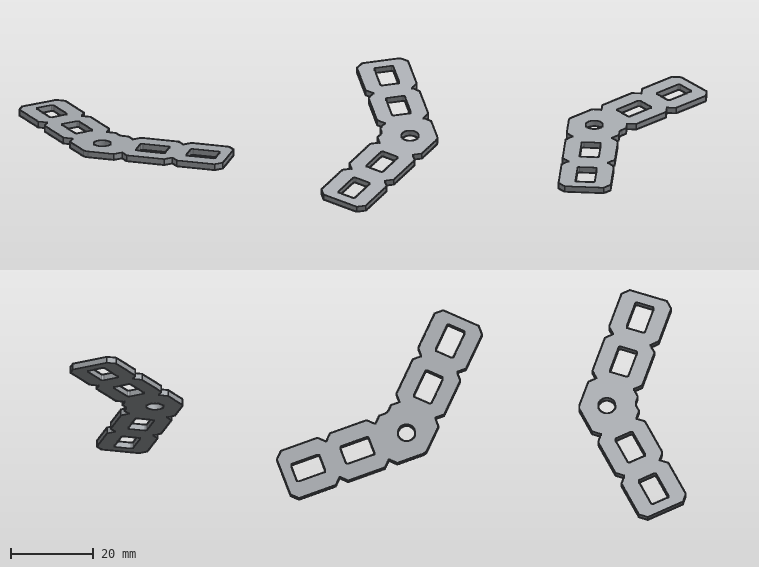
import cadquery as cq
import math

overall_length = 57.55
thickness = 1.55
corner_cut = 1.6
bend_angle = 45.0
bend_radius = 1.85
pivot_diameter = 4.2
slot_length = 7.35
slot_width = 4.7
slot_corner_radius = 0.45
cells_per_arm = 2

bend_cos = math.cos(math.radians(bend_angle))
bend_sin = math.sin(math.radians(bend_angle))
pitches_per_arm = cells_per_arm + 0.5
pitch = (overall_length + corner_cut * bend_sin) / (pitches_per_arm * (1 + bend_cos) + bend_sin / 2)
half_width = pitch / 2
arm_length = pitches_per_arm * pitch
bend_offset = half_width * math.tan(math.radians(bend_angle / 2))


def on_bent_arm(along, across):
    """Point given along and across the bent arm, measured from the pivot."""
    return (
        along * bend_cos - across * bend_sin,
        along * bend_sin + across * bend_cos,
    )


def arm_edge(side):
    """Long edge of an arm running outward, with V notches between the cells."""
    across = side * half_width
    notch_bottom = side * (half_width - corner_cut)
    points = []
    for cell in range(cells_per_arm):
        boundary = (cell + 0.5) * pitch
        points += [
            (boundary - corner_cut, across),
            (boundary, notch_bottom),
            (boundary + corner_cut, across),
        ]
    points += [(arm_length - corner_cut, across), (arm_length, notch_bottom)]
    return points


def plate():
    """Bent plate: straight arm toward -X, second arm turned up by the bend angle."""
    outer_bend = (bend_offset, -half_width)
    inner_bend = (-bend_offset, half_width)
    bent_lower = [on_bent_arm(*point) for point in arm_edge(-1)]
    bent_upper = [on_bent_arm(*point) for point in reversed(arm_edge(1))]
    straight_upper = [(-along, across) for along, across in arm_edge(1)]
    straight_lower = [(-along, across) for along, across in reversed(arm_edge(-1))]
    outline = (
        [outer_bend] + bent_lower + bent_upper
        + [inner_bend] + straight_upper + straight_lower
    )
    body = cq.Workplane("XY").polyline(outline).close().extrude(thickness)
    for x, y in (outer_bend, inner_bend):
        bend_edge = cq.selectors.NearestToPointSelector((x, y, thickness / 2))
        body = body.edges(bend_edge).fillet(bend_radius)
    return body


def slot_cutter(x, y, angle):
    """Rounded rectangular prism at the given centre, turned about Z."""
    return (
        cq.Workplane("XY")
        .rect(slot_length, slot_width)
        .extrude(thickness)
        .edges("|Z")
        .fillet(slot_corner_radius)
        .rotate((0, 0, 0), (0, 0, 1), angle)
        .translate((x, y, 0))
    )


result = plate()

result = result.cut(cq.Workplane("XY").circle(pivot_diameter / 2).extrude(thickness))

for cell in range(1, cells_per_arm + 1):
    bent_x, bent_y = on_bent_arm(cell * pitch, 0)
    result = result.cut(slot_cutter(-cell * pitch, 0, 0))
    result = result.cut(slot_cutter(bent_x, bent_y, bend_angle))